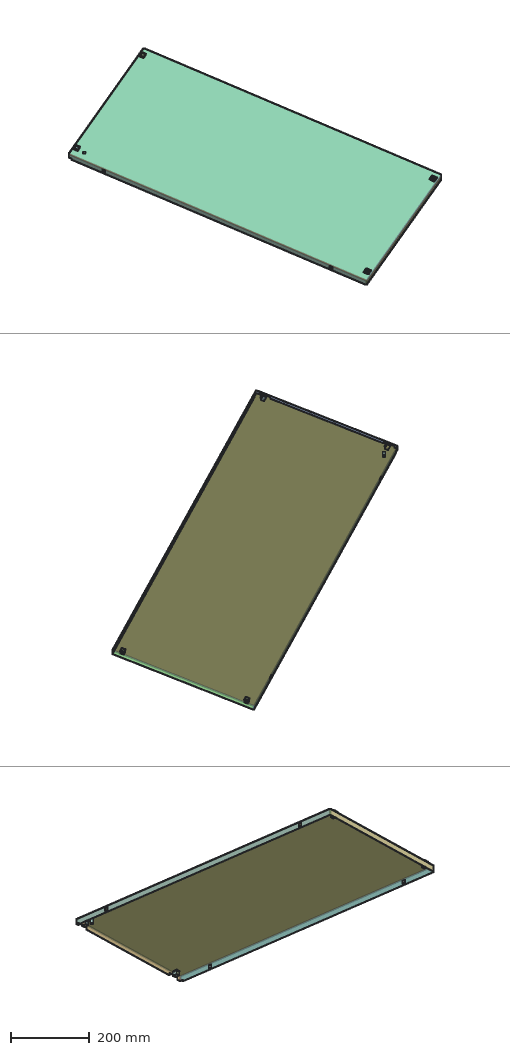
import cadquery as cq

LENGTH = 865.0
WIDTH = 398.0
TRAY_HEIGHT = 19.0
SHEET = 1.0
BEND_RADIUS = 2.0
CORNER_RADIUS = 3.0
SHEET_UNDERSIDE = TRAY_HEIGHT - SHEET

SHORT_FLANGE_BOTTOM = 4.0
RELIEF_LENGTH = 9.5

NOTCH_WIDTH = 29.0
NOTCH_TOP = 11.0

SIDE_HOLE_SIZE = 9.0
SIDE_HOLE_SPACING = 659.0
SIDE_HOLE_Z = 9.5

TOP_Z = 23.0
FASTENER_X = 421.0
FASTENER_Y = 174.0
FASTENER_ROWS = (-FASTENER_Y, FASTENER_Y)
HEAD_WIDTH = 15.0
HEAD_THICKNESS = 1.0
RIB_WIDTH = 9.0
RIB_HEIGHT = 0.4
HEAD_UNDERSIDE = TOP_Z - HEAD_THICKNESS
NECK_WIDTH = 11.0
STEM_WIDTH = 9.5
STEM_BOTTOM = 7.0

HOOK_X = -FASTENER_X
HOOK_HEAD_LENGTH = 12.0
HOOK_NECK_TAPER = 18
HOOK_FOOT_START = -LENGTH / 2 + BEND_RADIUS

CLIP_X = FASTENER_X
CLIP_NECK_TAPER = 8
PIN_DIAMETER = 5.0

STUD_DIAMETER = 7.0
STUD_X = -399.0
STUD_Y = -176.0
STUD_BOTTOM = 3.0


def block(length, width, bottom, top, x, y):
    """Upright block centred on (x, y)."""
    return cq.Workplane("XY", origin=(x, y, bottom)).rect(length, width).extrude(top - bottom)


def cylinder(diameter, bottom, top, x, y):
    """Upright cylinder centred on (x, y)."""
    return cq.Workplane("XY", origin=(x, y, bottom)).circle(diameter / 2).extrude(top - bottom)


def rounded_block(inset):
    """Block inset from the tray's outside, with rounded corners and a rounded top edge."""
    length = LENGTH - 2 * inset
    width = WIDTH - 2 * inset
    body = block(length, width, 0, TRAY_HEIGHT - inset, 0, 0)
    body = body.edges("|Z").fillet(CORNER_RADIUS - inset)
    return body.faces(">Z").edges().fillet(BEND_RADIUS - inset)


def make_tray():
    tray = rounded_block(0).cut(rounded_block(SHEET))

    tray = tray.cut(block(2 * RELIEF_LENGTH, WIDTH, 0, SHORT_FLANGE_BOTTOM, -LENGTH / 2, 0))

    for y in FASTENER_ROWS:
        tray = tray.cut(block(2 * BEND_RADIUS, NOTCH_WIDTH, 0, NOTCH_TOP, -LENGTH / 2, y))
        for x in (HOOK_X, CLIP_X):
            tray = tray.cut(block(STEM_WIDTH, STEM_WIDTH, SHEET_UNDERSIDE, TRAY_HEIGHT, x, y))

    hole_bottom = SIDE_HOLE_Z - SIDE_HOLE_SIZE / 2
    hole_top = SIDE_HOLE_Z + SIDE_HOLE_SIZE / 2
    for x in (-SIDE_HOLE_SPACING / 2, SIDE_HOLE_SPACING / 2):
        tray = tray.cut(block(SIDE_HOLE_SIZE, WIDTH, hole_bottom, hole_top, x, 0))
    return tray


def make_head(length, neck_taper, x, y):
    """Ribbed head plate on a neck that narrows upward, with a straight stem through the sheet."""
    plate = block(length, HEAD_WIDTH, HEAD_UNDERSIDE, TOP_Z - RIB_HEIGHT, x, y)
    rib = block(length, RIB_WIDTH, HEAD_UNDERSIDE, TOP_Z, x, y)
    neck = cq.Workplane("XY", origin=(x, y, TRAY_HEIGHT)).rect(NECK_WIDTH, NECK_WIDTH)
    neck = neck.extrude(HEAD_UNDERSIDE - TRAY_HEIGHT, taper=neck_taper)
    stem = block(STEM_WIDTH, STEM_WIDTH, STEM_BOTTOM, TRAY_HEIGHT, x, y)
    return plate.union(rib).union(neck).union(stem)


def make_hook(y):
    """Head and stem with a foot under the sheet that reaches toward the short flange."""
    foot_end = HOOK_X + STEM_WIDTH / 2
    foot_length = foot_end - HOOK_FOOT_START
    foot_x = (HOOK_FOOT_START + foot_end) / 2
    foot = block(foot_length, STEM_WIDTH, STEM_BOTTOM, SHEET_UNDERSIDE, foot_x, y)
    return make_head(HOOK_HEAD_LENGTH, HOOK_NECK_TAPER, HOOK_X, y).union(foot)


def make_pin(y):
    return cylinder(PIN_DIAMETER, STEM_BOTTOM, TOP_Z, CLIP_X, y)


def make_clip(y):
    """Square head and stem, bored for the pin."""
    return make_head(HEAD_WIDTH, CLIP_NECK_TAPER, CLIP_X, y).cut(make_pin(y))


tray = make_tray()
hooks = [make_hook(y) for y in FASTENER_ROWS]
clips = [make_clip(y) for y in FASTENER_ROWS]
pins = [make_pin(y) for y in FASTENER_ROWS]
stud = cylinder(STUD_DIAMETER, STUD_BOTTOM, SHEET_UNDERSIDE, STUD_X, STUD_Y)

result = cq.Compound.makeCompound(
    [body.val() for body in [tray, *hooks, *clips, *pins, stud]]
)